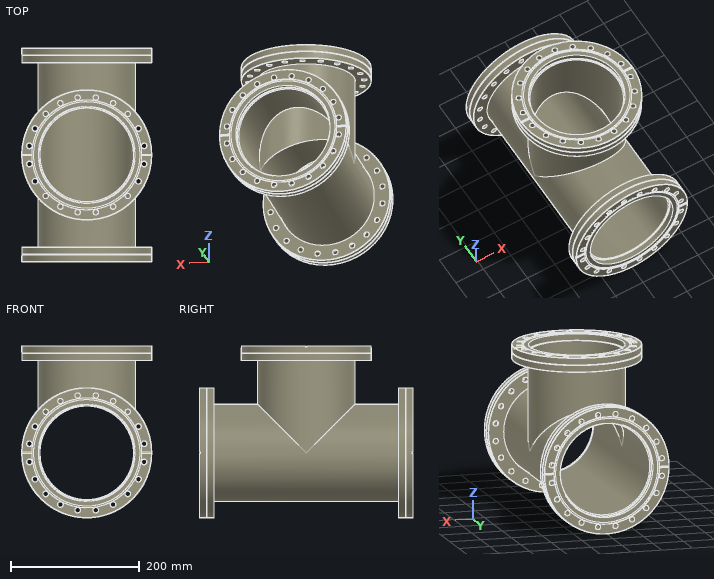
import cadquery as cq

run_length = 333.2
port_reach = run_length / 2

tube_od = 152.3
tube_id = 146.0
tube_end_depth = 11.3

flange_od = 203.0
flange_thickness = 23.0
edge_chamfer = 0.5
ring_rear_bore = 153.0

pocket_diameter = 171.3
pocket_depth = 2.0
shoulder_depth = 16.5
knife_diameter = 166.0
knife_depth = 1.0
insert_bore = 150.3

rim_groove_width = 1.0
rim_groove_depth = 0.5

bolt_count = 20
bolt_hole_diameter = 8.3
bolt_circle = 181.0
bolt_half_pitch = 180 / bolt_count

slot_width = 2.0
slot_depth = 1.5

port_tilts = (0, 90, -90)


def revolved(points):
    """Solid of revolution about Z from (radius, height) points."""
    return cq.Workplane("XZ").polyline(points).close().revolve(360, (0, 0), (0, 1))


def make_tee(diameter, reach):
    """Solid tee of two equal cylinders, reaching the same distance to every port."""
    run = cq.Workplane("XZ").circle(diameter / 2).extrude(reach, both=True)
    branch = cq.Workplane("XY").circle(diameter / 2).extrude(reach)
    return run.union(branch)


def make_tube():
    """Tee pipe whose ends stop inside the flanges."""
    reach = port_reach - tube_end_depth
    return make_tee(tube_od, reach).cut(make_tee(tube_id, reach))


def make_flange_ring():
    """Outer bolt ring with its front face on Z = 0 and its body below it."""
    rim = flange_od / 2
    pocket = pocket_diameter / 2
    rear = ring_rear_bore / 2
    groove_middle = -flange_thickness / 2
    ring = revolved([
        (pocket, 0),
        (rim - edge_chamfer, 0),
        (rim, -edge_chamfer),
        (rim, groove_middle + rim_groove_width / 2),
        (rim - rim_groove_depth, groove_middle),
        (rim, groove_middle - rim_groove_width / 2),
        (rim, edge_chamfer - flange_thickness),
        (rim - edge_chamfer, -flange_thickness),
        (rear, -flange_thickness),
        (rear, -shoulder_depth),
        (pocket, -shoulder_depth),
    ])
    bolt_holes = (
        cq.Workplane("XY")
        .polarArray(bolt_circle / 2, bolt_half_pitch, 360, bolt_count)
        .circle(bolt_hole_diameter / 2)
        .extrude(-flange_thickness)
    )
    slot_bar = cq.Workplane("XY").rect(flange_od, slot_width).extrude(-slot_depth)
    return ring.cut(bolt_holes).cut(slot_bar)


def make_knife_insert():
    """Knife-edge insert seated in the ring pocket, with a socket for the tube end."""
    pocket = pocket_diameter / 2
    knife = knife_diameter / 2
    bore = insert_bore / 2
    socket = tube_od / 2
    return revolved([
        (bore, -knife_depth),
        (knife, -knife_depth),
        (pocket, -pocket_depth),
        (pocket, -shoulder_depth),
        (socket, -shoulder_depth),
        (socket, -tube_end_depth),
        (bore, -tube_end_depth),
    ])


def at_ports(body):
    """Separate copies of a flange body, one on each port."""
    lifted = body.translate((0, 0, port_reach))
    return [lifted.rotate((0, 0, 0), (1, 0, 0), tilt).val() for tilt in port_tilts]


tube = make_tube()
flange_rings = at_ports(make_flange_ring())
knife_inserts = at_ports(make_knife_insert())

result = cq.Compound.makeCompound([tube.val(), *flange_rings, *knife_inserts])